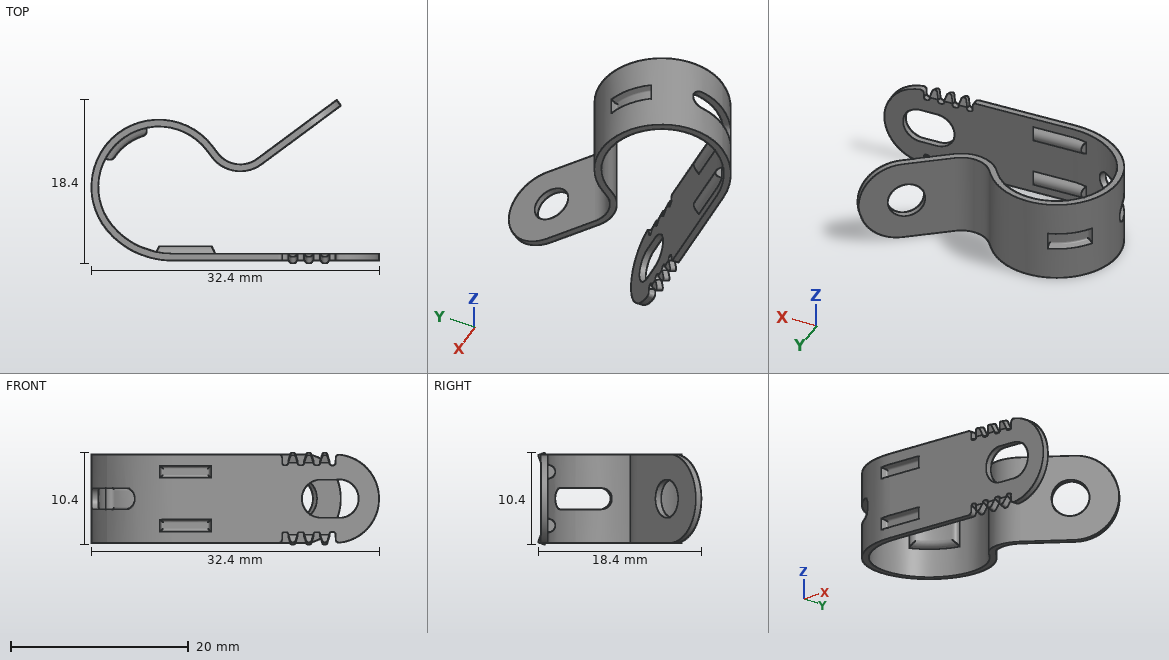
import math

import cadquery as cq

THICKNESS = 0.8
STRIP_WIDTH = 10.0
HALF_WIDTH = STRIP_WIDTH / 2
TOTAL_LENGTH = 32.43
HOLE_DIAMETER = 4.3
CUT_MARGIN = 0.5
SELECT_TOLERANCE = 0.01

LOOP_RADIUS = 7.6
LOOP_CENTRE = (LOOP_RADIUS, 8.3)
BLEND_ANGLE = 220.0
BLEND_EXTRA = (LOOP_CENTRE[1] - LOOP_RADIUS) / (1 + math.sin(math.radians(BLEND_ANGLE)))
BLEND_RADIUS = LOOP_RADIUS + BLEND_EXTRA

LOOP_END_ANGLE = 37.0
NECK_STRAIGHT = 0.93
NECK_RADIUS = 3.2
LEG_ANGLE = 36.5
LEG_LENGTH = 11.14
LEG_HOLE_FROM_TIP = 5.5

SLOT_START = 23.73
SLOT_END = 30.1

NOTCH_START = 21.49
NOTCH_FLOOR = 3.76
TOOTH_COUNT = 3
TOOTH_PITCH = 1.8
VALLEY_FLOOR_WIDTH = 0.62
NOTCH_END = NOTCH_START + TOOTH_COUNT * TOOTH_PITCH + VALLEY_FLOOR_WIDTH
TOOTH_CREST_WIDTH = 0.48
VALLEY_FILLET = 0.29
CREST_FILLET = 0.29
NOTCH_CORNER_FILLET = 0.42
BEND_LINE = 4.07
BEND_ANGLE = 20.0
BENT_LENGTH = 0.9
CREST_HEIGHT = BEND_LINE + BENT_LENGTH
BEND_MITRE = THICKNESS * math.tan(math.radians(BEND_ANGLE / 2))

RIB_HEIGHT = 0.83
RIB_CENTRE_X = 10.6
RIB_OFFSET_Z = 3.03
RIB_DENT_MOUTH = (5.8, 1.4)
RIB_DENT_FLOOR = (5.33, 1.0)
RIB_BUMP_BASE_LENGTH = 6.75
RIB_BUMP_TOP_LENGTH = 5.9
RIB_ROUND_RADIUS = 0.74
RIB_SIDE_ANGLE = 22.9
DENT_FLOOR_FILLET = 0.19

LOOP_RIB_HEIGHT = 0.8
LOOP_RIB_ANGLE = 126.8
LOOP_DENT_SPAN = 39.4
LOOP_DENT_MOUTH = 2.05
LOOP_DENT_FLOOR = 1.6
LOOP_BUMP_SPAN = 50.0
LOOP_BUMP_BASE = 3.4
LOOP_BUMP_TOP = 2.72
LOOP_BUMP_FILLET = 0.65

BAND_SLOT_WIDTH = 2.4
BAND_SLOT_START = 192.5
BAND_SLOT_END = 236.7


def polar(centre, radius, angle):
    a = math.radians(angle)
    return (centre[0] + radius * math.cos(a), centre[1] + radius * math.sin(a))


BLEND_CENTRE = polar(LOOP_CENTRE, BLEND_EXTRA, BLEND_ANGLE - 180)
TAB_START = BLEND_CENTRE[0]
TAB_ROUND_X = TOTAL_LENGTH - HALF_WIDTH
NECK_CENTRE = polar(
    polar(LOOP_CENTRE, LOOP_RADIUS + NECK_RADIUS, LOOP_END_ANGLE),
    NECK_STRAIGHT,
    LOOP_END_ANGLE - 90,
)
NECK_START_ANGLE = LOOP_END_ANGLE + 180
NECK_END_ANGLE = LEG_ANGLE + 270
LEG_START = polar(NECK_CENTRE, NECK_RADIUS + THICKNESS, NECK_END_ANGLE)


def arc_points(centre, radius, start, end):
    return polar(centre, radius, (start + end) / 2), polar(centre, radius, end)


def make_band():
    """Loop and neck, from the tab to the foot of the leg."""
    loop_inner = LOOP_RADIUS - THICKNESS
    blend_inner = BLEND_RADIUS - THICKNESS
    neck_outer = NECK_RADIUS + THICKNESS
    profile = (
        cq.Workplane("XY", origin=(0, 0, -HALF_WIDTH))
        .moveTo(TAB_START, 0)
        .threePointArc(*arc_points(BLEND_CENTRE, BLEND_RADIUS, 270, BLEND_ANGLE))
        .threePointArc(*arc_points(LOOP_CENTRE, LOOP_RADIUS, BLEND_ANGLE, LOOP_END_ANGLE))
        .lineTo(*polar(NECK_CENTRE, NECK_RADIUS, NECK_START_ANGLE))
        .threePointArc(*arc_points(NECK_CENTRE, NECK_RADIUS, NECK_START_ANGLE, NECK_END_ANGLE))
        .lineTo(*LEG_START)
        .threePointArc(*arc_points(NECK_CENTRE, neck_outer, NECK_END_ANGLE, NECK_START_ANGLE))
        .lineTo(*polar(LOOP_CENTRE, loop_inner, LOOP_END_ANGLE))
        .threePointArc(*arc_points(LOOP_CENTRE, loop_inner, LOOP_END_ANGLE, BLEND_ANGLE))
        .threePointArc(*arc_points(BLEND_CENTRE, blend_inner, BLEND_ANGLE, 270))
        .close()
    )
    return profile.extrude(STRIP_WIDTH)


def make_leg():
    """Straight leg with a full round end and a round hole."""
    round_x = LEG_LENGTH - HALF_WIDTH
    leg = (
        cq.Workplane("XZ")
        .moveTo(0, -HALF_WIDTH)
        .lineTo(round_x, -HALF_WIDTH)
        .threePointArc((LEG_LENGTH, 0), (round_x, HALF_WIDTH))
        .lineTo(0, HALF_WIDTH)
        .close()
        .extrude(-THICKNESS)
    )
    hole = (
        cq.Workplane("XZ")
        .center(LEG_LENGTH - LEG_HOLE_FROM_TIP, 0)
        .circle(HOLE_DIAMETER / 2)
        .extrude(-THICKNESS)
    )
    return leg.cut(hole).rotate((0, 0, 0), (0, 0, 1), LEG_ANGLE).translate((*LEG_START, 0))


def notch_cutter():
    """Material removed around the flat teeth of the upper (+Z) tab edge."""
    above = HALF_WIDTH + CUT_MARGIN
    tooth_root_width = TOOTH_PITCH - VALLEY_FLOOR_WIDTH
    crest_inset = (tooth_root_width - TOOTH_CREST_WIDTH) / 2
    points = [(NOTCH_START, above), (NOTCH_START, NOTCH_FLOOR)]
    for i in range(TOOTH_COUNT):
        root = NOTCH_START + i * TOOTH_PITCH + VALLEY_FLOOR_WIDTH
        next_root = root + tooth_root_width
        points += [
            (root, NOTCH_FLOOR),
            (root + crest_inset, CREST_HEIGHT),
            (next_root - crest_inset, CREST_HEIGHT),
            (next_root, NOTCH_FLOOR),
        ]
    points += [(NOTCH_END, NOTCH_FLOOR), (NOTCH_END, above)]
    return cq.Workplane("XZ").polyline(points).close().extrude(-THICKNESS)


def edges_in(x_range, z_range):
    return cq.selectors.BoxSelector(
        (x_range[0], -THICKNESS, z_range[0]), (x_range[1], 2 * THICKNESS, z_range[1])
    )


def tooth_zone(from_z):
    """Block holding everything in the notch beyond the given distance from the mid-plane."""
    return (
        cq.Workplane("XY", origin=((NOTCH_START + NOTCH_END) / 2, THICKNESS / 2, from_z))
        .rect(NOTCH_END - NOTCH_START, 2 * THICKNESS)
        .extrude(HALF_WIDTH)
    )


def make_half_tab():
    """Upper half (Z > 0) of the tab with its bent teeth."""
    near = SELECT_TOLERANCE
    half = (
        cq.Workplane("XZ")
        .moveTo(TAB_START, 0)
        .lineTo(TOTAL_LENGTH, 0)
        .radiusArc((TAB_ROUND_X, HALF_WIDTH), -HALF_WIDTH)
        .lineTo(TAB_START, HALF_WIDTH)
        .close()
        .extrude(-THICKNESS)
        .cut(notch_cutter())
    )
    notch_x = (NOTCH_START - near, NOTCH_END + near)
    inner_x = (NOTCH_START + near, NOTCH_END - near)
    crest_z = (CREST_HEIGHT - near, CREST_HEIGHT + near)
    half = half.edges("|Y").edges(edges_in(notch_x, (NOTCH_FLOOR - near, NOTCH_FLOOR + near)))
    half = half.fillet(VALLEY_FILLET)
    half = half.edges("|Y").edges(edges_in(inner_x, crest_z)).fillet(CREST_FILLET)
    for wall in (NOTCH_START, NOTCH_END):
        corner = edges_in((wall - near, wall + near), (CREST_HEIGHT, HALF_WIDTH + near))
        half = half.edges("|Y").edges(corner).fillet(NOTCH_CORNER_FILLET)
    bent = half.intersect(tooth_zone(BEND_LINE - BEND_MITRE)).rotate(
        (0, 0, BEND_LINE), (1, 0, BEND_LINE), BEND_ANGLE
    )
    return half.cut(tooth_zone(BEND_LINE + BEND_MITRE)).union(bent)


def make_tab():
    half = make_half_tab()
    slot = (
        cq.Workplane("XZ")
        .center((SLOT_START + SLOT_END) / 2, 0)
        .slot2D(SLOT_END - SLOT_START, HOLE_DIAMETER)
        .extrude(-THICKNESS)
    )
    return half.union(half.mirror("XY")).cut(slot)


def rib_bump(z):
    """Bump with a rounded crest, leaning sides and slanted ends."""
    foot_y = THICKNESS / 2
    crest_y = THICKNESS + RIB_HEIGHT
    lean = math.radians(RIB_SIDE_ANGLE)
    tangent_y = crest_y - RIB_ROUND_RADIUS * (1 - math.sin(lean))
    tangent_half = RIB_ROUND_RADIUS * math.cos(lean)
    foot_half = tangent_half + (tangent_y - foot_y) * math.tan(lean)
    section = (
        cq.Workplane("YZ", origin=(RIB_CENTRE_X, 0, z))
        .moveTo(foot_y, -foot_half)
        .lineTo(tangent_y, -tangent_half)
        .threePointArc((crest_y, 0), (tangent_y, tangent_half))
        .lineTo(foot_y, foot_half)
        .close()
        .extrude(RIB_BUMP_BASE_LENGTH, both=True)
    )
    half_top = RIB_BUMP_TOP_LENGTH / 2
    half_base = RIB_BUMP_BASE_LENGTH / 2
    end_limits = (
        cq.Workplane("XY", origin=(RIB_CENTRE_X, 0, z))
        .polyline([
            (-half_base, foot_y),
            (half_base, foot_y),
            (half_base, THICKNESS),
            (half_top, crest_y),
            (-half_top, crest_y),
            (-half_base, THICKNESS),
        ])
        .close()
        .extrude(2 * foot_half, both=True)
    )
    return section.intersect(end_limits)


def rib_dent(z):
    dent = (
        cq.Workplane("XZ", origin=(RIB_CENTRE_X, 0, z))
        .rect(*RIB_DENT_MOUTH)
        .workplane(offset=-RIB_HEIGHT)
        .rect(*RIB_DENT_FLOOR)
        .loft()
    )
    return dent.faces(">Y").edges().fillet(DENT_FLOOR_FILLET)


def sweep_about(centre, section, start, end):
    """Revolve an (r, z) section about a Z axis through centre, between two directions."""
    return (
        cq.Workplane("XZ")
        .polyline(section)
        .close()
        .revolve(end - start, (0, 0, 0), (0, 1, 0))
        .rotate((0, 0, 0), (0, 0, 1), start)
        .translate((*centre, 0))
    )


def symmetric_section(outer_r, outer_width, inner_r, inner_width):
    return [
        (outer_r, -outer_width / 2),
        (outer_r, outer_width / 2),
        (inner_r, inner_width / 2),
        (inner_r, -inner_width / 2),
    ]


def loop_rib_part(section, span):
    return sweep_about(
        LOOP_CENTRE, section, LOOP_RIB_ANGLE - span / 2, LOOP_RIB_ANGLE + span / 2
    )


def fillet_inner_face(body, face_radius, fillet_radius):
    """Round all edges of the face nearest the loop centre."""
    middle = polar(LOOP_CENTRE, face_radius, LOOP_RIB_ANGLE)
    face = body.faces(cq.selectors.NearestToPointSelector((*middle, 0)))
    return face.edges().fillet(fillet_radius)


def loop_bump():
    base_r = LOOP_RADIUS - THICKNESS
    top_r = base_r - LOOP_RIB_HEIGHT
    bump = loop_rib_part(
        symmetric_section(base_r, LOOP_BUMP_BASE, top_r, LOOP_BUMP_TOP), LOOP_BUMP_SPAN
    )
    bump = fillet_inner_face(bump, top_r, LOOP_BUMP_FILLET)
    foot = loop_rib_part(
        symmetric_section(base_r + THICKNESS / 2, LOOP_BUMP_BASE, base_r, LOOP_BUMP_BASE), LOOP_BUMP_SPAN
    )
    return bump.union(foot)


def loop_dent():
    floor_r = LOOP_RADIUS - LOOP_RIB_HEIGHT
    dent = loop_rib_part(
        symmetric_section(LOOP_RADIUS, LOOP_DENT_MOUTH, floor_r, LOOP_DENT_FLOOR), LOOP_DENT_SPAN
    )
    return fillet_inner_face(dent, floor_r, DENT_FLOOR_FILLET)


def round_end(centre, outer_r, angle):
    """Radial cylinder forming one round end of the loop slot."""
    return (
        cq.Workplane("YZ", origin=(outer_r - THICKNESS - CUT_MARGIN, 0, 0))
        .circle(BAND_SLOT_WIDTH / 2)
        .extrude(THICKNESS + 2 * CUT_MARGIN)
        .rotate((0, 0, 0), (0, 0, 1), angle)
        .translate((*centre, 0))
    )


def band_slot():
    cutter = round_end(LOOP_CENTRE, LOOP_RADIUS, BAND_SLOT_START)
    cutter = cutter.union(round_end(BLEND_CENTRE, BLEND_RADIUS, BAND_SLOT_END))
    stretches = (
        (LOOP_CENTRE, LOOP_RADIUS, BAND_SLOT_START, BLEND_ANGLE),
        (BLEND_CENTRE, BLEND_RADIUS, BLEND_ANGLE, BAND_SLOT_END),
    )
    for centre, radius, start, end in stretches:
        section = symmetric_section(
            radius + CUT_MARGIN, BAND_SLOT_WIDTH, radius - THICKNESS - CUT_MARGIN, BAND_SLOT_WIDTH
        )
        cutter = cutter.union(sweep_about(centre, section, start, end))
    return cutter


clip = make_band().union(make_leg()).union(make_tab())
for side in (-1, 1):
    clip = clip.union(rib_bump(side * RIB_OFFSET_Z)).cut(rib_dent(side * RIB_OFFSET_Z))
clip = clip.union(loop_bump()).cut(loop_dent())
result = clip.cut(band_slot())